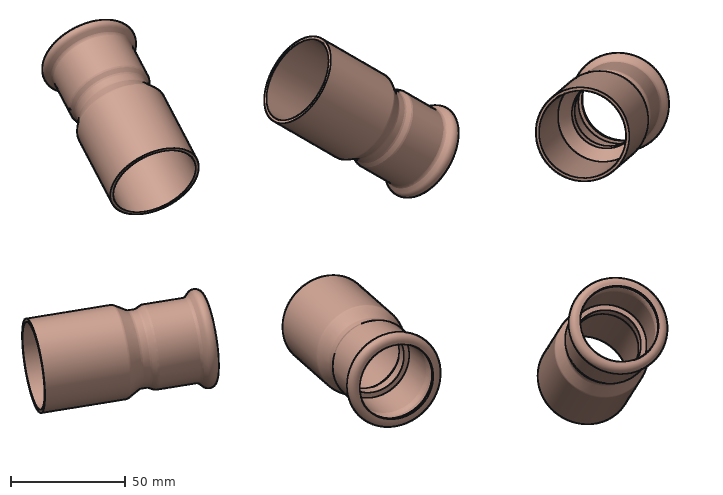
import cadquery as cq
import math

length = 79.0
wall = 1.5
bend_radius = 2.0

socket_radius = 38.0 / 2
neck_radius = 35.0 / 2
spigot_radius = 42.0 / 2

bead_radius = 3.1
bead_groove_radius = bead_radius - wall
bead_center_x = bead_radius
bead_cone_angle = math.radians(45)

socket_end = 27.2
neck_start = 30.0
neck_end = 34.05
spigot_start = 40.2

socket_bore_radius = socket_radius - wall
stop_bore_radius = 15.0
spigot_bore_radius = spigot_radius - wall
spigot_cone_angle = math.atan2(spigot_radius - neck_radius, spigot_start - neck_end)
spigot_bore_start = spigot_start + wall * math.tan(spigot_cone_angle / 2)
stop_end = spigot_bore_start - (spigot_bore_radius - stop_bore_radius) / math.tan(spigot_cone_angle)


def bead_point(radius, angle):
    """Point (x, r) on a circle around the centre of the bead section."""
    return (
        bead_center_x + radius * math.cos(angle),
        socket_radius + radius * math.sin(angle),
    )


def bead_cone_foot(radius, cylinder_radius):
    """X where the cone leaving a bead arc meets a cylinder."""
    x, r = bead_point(radius, bead_cone_angle)
    return x + (r - cylinder_radius) / math.tan(bead_cone_angle)


bead_foot = bead_cone_foot(bead_radius, socket_radius)
groove_foot = bead_cone_foot(bead_groove_radius, socket_bore_radius)
arc_middle = (math.pi + bead_cone_angle) / 2


def sleeve():
    """Revolved wall section with sharp bends."""
    section = (
        cq.Workplane("XY")
        .moveTo(0, socket_bore_radius)
        .lineTo(0, socket_radius)
        .threePointArc(bead_point(bead_radius, arc_middle), bead_point(bead_radius, bead_cone_angle))
        .lineTo(bead_foot, socket_radius)
        .lineTo(socket_end, socket_radius)
        .lineTo(neck_start, neck_radius)
        .lineTo(neck_end, neck_radius)
        .lineTo(spigot_start, spigot_radius)
        .lineTo(length, spigot_radius)
        .lineTo(length, spigot_bore_radius)
        .lineTo(spigot_bore_start, spigot_bore_radius)
        .lineTo(stop_end, stop_bore_radius)
        .lineTo(socket_end, stop_bore_radius)
        .lineTo(socket_end, socket_bore_radius)
        .lineTo(groove_foot, socket_bore_radius)
        .lineTo(*bead_point(bead_groove_radius, bead_cone_angle))
        .threePointArc(
            bead_point(bead_groove_radius, arc_middle),
            bead_point(bead_groove_radius, math.pi),
        )
        .lineTo(wall, socket_bore_radius)
        .close()
    )
    return section.revolve(360, (0, 0, 0), (1, 0, 0))


def round_bend(body, x, radius, fillet_radius):
    """Fillet the circular edge of the given radius at station x."""
    tolerance = 0.01
    edges = [
        edge
        for edge in body.edges("%CIRCLE").vals()
        if abs(edge.Center().x - x) < tolerance and abs(edge.radius() - radius) < tolerance
    ]
    return body.newObject(edges).fillet(fillet_radius)


result = sleeve()
outer_bends = [
    (bead_foot, socket_radius),
    (socket_end, socket_radius),
    (neck_start, neck_radius),
    (neck_end, neck_radius),
    (spigot_start, spigot_radius),
]
for bend_x, bend_at_radius in outer_bends:
    result = round_bend(result, bend_x, bend_at_radius, bend_radius)

result = round_bend(result, groove_foot, socket_bore_radius, bend_radius + wall)